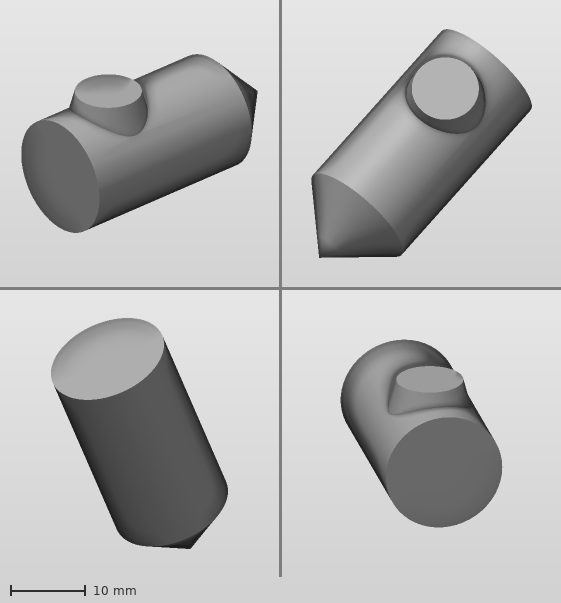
import cadquery as cq
import math

total_length = 35.0
body_diameter = 16.0
body_radius = body_diameter / 2
point_half_angle = 45.0
point_length = body_radius / math.tan(math.radians(point_half_angle))
shank_length = total_length - point_length

boss_top_diameter = 9.0
boss_rise = 2.0
boss_taper = 15.0
boss_from_flat_end = 8.5


def pointed_body():
    """Half profile revolved about the Y axis, flat end at Y = 0."""
    return (
        cq.Workplane("XY")
        .lineTo(body_radius, 0)
        .lineTo(body_radius, shank_length)
        .lineTo(0, total_length)
        .close()
        .revolve(360, (0, 0, 0), (0, 1, 0))
    )


def tapered_boss():
    """Cone frustum from the body axis up to the flat boss top."""
    height = body_radius + boss_rise
    top_radius = boss_top_diameter / 2
    base_radius = top_radius + height * math.tan(math.radians(boss_taper))
    base_center = cq.Vector(0, boss_from_flat_end, 0)
    return cq.Workplane(cq.Solid.makeCone(base_radius, top_radius, height, base_center))


result = pointed_body().union(tapered_boss())